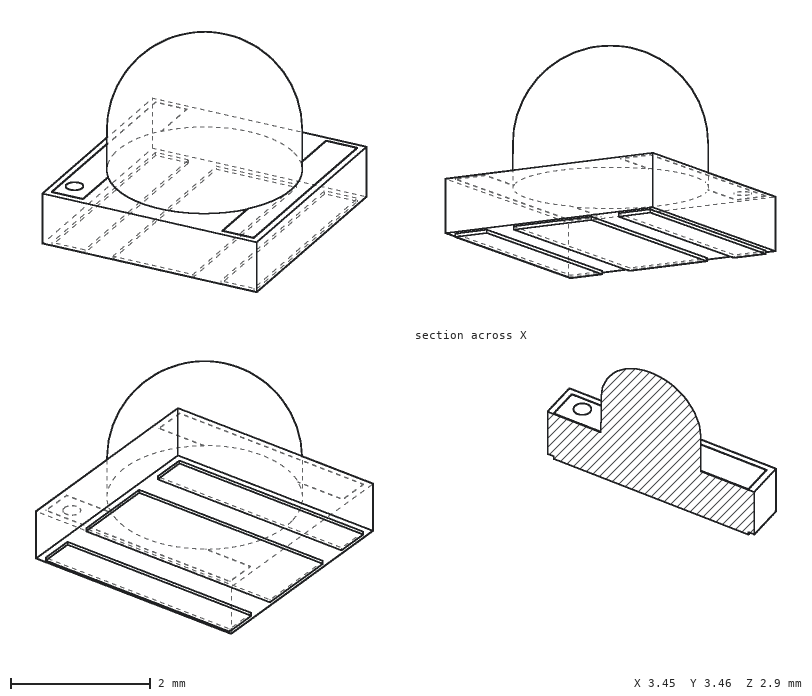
import cadquery as cq
import math

body_x = 3.45
body_y = 3.46
body_height = 0.8

overall_height = 2.9
lens_radius = 1.4

pad_margin = 0.1
pad_length = body_y - 2 * pad_margin
bottom_pad_thickness = 0.05
side_pad_width = 0.53
center_pad_width = 1.29
top_pad_thickness = 0.007
top_pad_width = 0.5

dot_radius = 0.128
dot_height = 0.005
dot_from_side = 0.31
dot_from_front = 0.405

body_top = bottom_pad_thickness + body_height
lens_cylinder_height = overall_height - body_top - lens_radius


def pad(width, thickness, center_x, base_z):
    """Rectangular pad running along Y, centred on center_x and resting at base_z."""
    return (
        cq.Workplane("XY", origin=(center_x, 0, base_z))
        .rect(width, pad_length)
        .extrude(thickness)
    )


def edge_offset(width):
    """Distance from the centre plane to the middle of a pad along a side edge."""
    return body_x / 2 - pad_margin - width / 2


def make_body():
    return (
        cq.Workplane("XY", origin=(0, 0, bottom_pad_thickness))
        .rect(body_x, body_y)
        .extrude(body_height)
    )


def make_lens():
    """Half profile revolved about the Z axis."""
    shoulder_z = body_top + lens_cylinder_height
    diagonal = lens_radius * math.sqrt(0.5)
    return (
        cq.Workplane("XZ")
        .moveTo(0, body_top)
        .lineTo(lens_radius, body_top)
        .lineTo(lens_radius, shoulder_z)
        .threePointArc((diagonal, shoulder_z + diagonal), (0, overall_height))
        .close()
        .revolve(360, (0, 0, 0), (0, 1, 0))
    )


def make_polarity_dot():
    center = (dot_from_side - body_x / 2, dot_from_front - body_y / 2, body_top)
    return cq.Workplane("XY", origin=center).circle(dot_radius).extrude(top_pad_thickness + dot_height)


result = make_body().union(make_lens())
result = result.union(pad(center_pad_width, bottom_pad_thickness, 0, 0))
for side in (-1, 1):
    bottom_pad = pad(side_pad_width, bottom_pad_thickness, side * edge_offset(side_pad_width), 0)
    top_pad = pad(top_pad_width, top_pad_thickness, side * edge_offset(top_pad_width), body_top)
    result = result.union(bottom_pad).union(top_pad)
result = result.union(make_polarity_dot())